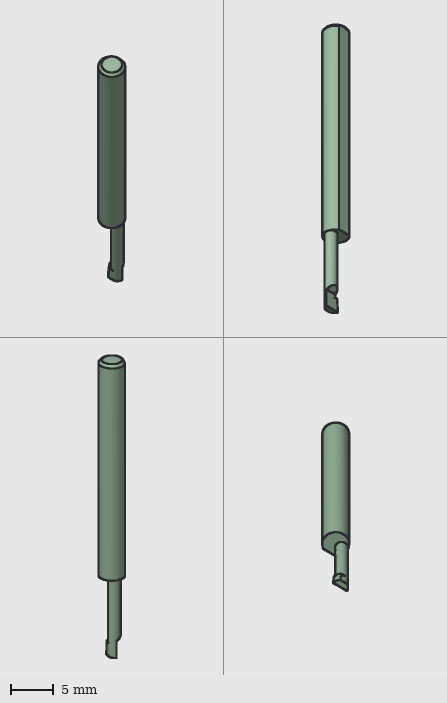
import cadquery as cq
import math

shank_diameter = 3.175
shank_radius = shank_diameter / 2
total_length = 38.1
neck_length = 10.16
shank_length = total_length - neck_length
flat_to_back = 2.92
flat_y = flat_to_back - shank_radius
end_chamfer = 0.38

neck_radius = 0.762
neck_center_x = shank_radius - neck_radius

rake_top_z = -7.9
runout_angle = 38.0

tip_z = -neck_length
tip_x = -0.4
head_height = 1.8
head_lean = 0.14
land_width = 0.29
land_depth = 0.58
land_bulge = 0.04
bevel_width = 0.22

end_rise_angle_x = 2.0
end_rise_angle_y = 5.0


def make_shank():
    bar = cq.Workplane("XY").circle(shank_radius).extrude(shank_length)
    bar = bar.faces(">Z").chamfer(end_chamfer)
    beyond_flat = cq.Workplane("XY").box(
        shank_diameter, shank_radius, shank_length, centered=(True, False, False)
    )
    return bar.cut(beyond_flat.translate((0, flat_y, 0)))


def make_neck():
    return cq.Workplane("XY").center(neck_center_x, 0).circle(neck_radius).extrude(-neck_length)


def head_section(plane, edge_x):
    """Add the head's outline to the plane, with its cutting edge at edge_x."""
    land_end_x = edge_x + land_width
    return (
        plane.moveTo(edge_x, 0)
        .sagittaArc((land_end_x, -land_depth), -land_bulge)
        .lineTo(land_end_x + bevel_width, -neck_radius)
        .lineTo(neck_center_x, -neck_radius)
        .lineTo(neck_center_x, 0)
        .close()
    )


def make_head():
    lower = head_section(cq.Workplane("XY").workplane(offset=tip_z), tip_x)
    upper = head_section(lower.workplane(offset=head_height), tip_x + head_lean)
    return upper.loft(ruled=True)


def make_rake_cut():
    cut_depth = 2 * neck_radius
    runout_z = rake_top_z + cut_depth * math.tan(math.radians(runout_angle))
    outline = [
        (0, tip_z),
        (0, rake_top_z),
        (cut_depth, runout_z),
        (cut_depth, tip_z),
    ]
    return cq.Workplane("YZ").polyline(outline).close().extrude(shank_radius, both=True)


def make_end_relief():
    block = cq.Workplane("XY").box(
        2 * shank_diameter, 2 * shank_diameter, neck_radius, centered=(True, True, False)
    )
    block = block.translate((0, 0, -neck_radius))
    block = block.rotate((0, 0, 0), (0, 1, 0), -end_rise_angle_x)
    block = block.rotate((0, 0, 0), (1, 0, 0), -end_rise_angle_y)
    return block.translate((tip_x, 0, tip_z))


tool = make_shank().union(make_neck()).union(make_head())
result = tool.cut(make_rake_cut()).cut(make_end_relief())